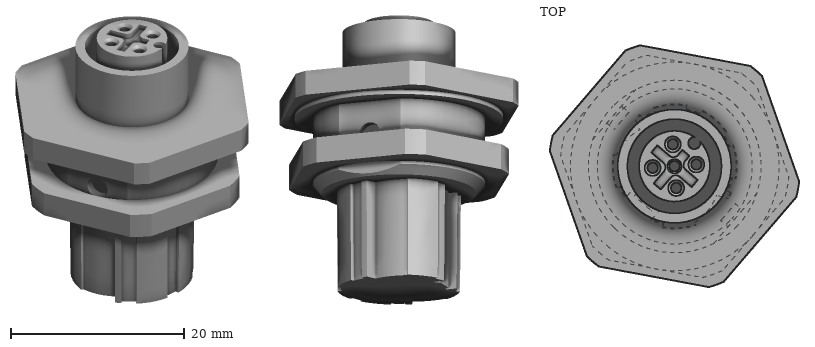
import cadquery as cq
import math

KEY_ANGLE = 49.4

BODY_BOTTOM = 11.45
NUT_BOTTOM = 12.8
NUT_TOP = 15.8
SEAL_BOTTOM = 20.22
FLANGE_BOTTOM = 20.73
FLANGE_TOP = 23.57
COLLAR_TOP = 30.53
INSERT_TOP = 31.6

FLANGE_APOTHEM = 13.0
FLANGE_CORNER_RADIUS = 14.5
NUT_APOTHEM = 12.0
NUT_CORNER_RADIUS = 13.2

SEAL_RADIUS = 12.05
BODY_RADIUS = 9.95
BODY_CHAMFER = 1.0
COLLAR_RADIUS = 6.55
SOCKET_RADIUS = 5.45
INSERT_RADIUS = 4.08

FLAT_DISTANCE = 9.2
SIDE_HOLE_RADIUS = 1.3
SIDE_HOLE_DEPTH = 1.1
SIDE_HOLE_LEVEL = 16.43

SHELL_TOP_RADIUS = 7.2
SHELL_BOTTOM_RADIUS = 7.1
GROOVE_ANGLES = (22.5, 67.5, 157.5)
GROOVE_HALF_ANGLE = 7.0
GROOVE_DEPTH = 0.45

KEYWAY_WIDTH = 3.92
KEYWAY_FLOOR = 5.12
PAD_BASE_WIDTH = 2.9
PAD_FACE_WIDTH = 2.6
PAD_FACE = 5.62

RELIEF_FLOOR_RADIUS = 6.23
RELIEF_FLOOR_OFFSET = 1.58
RELIEF_FRONT_ANGLE = 119.5
RELIEF_WALL_INNER = (0.57, 5.75)
RELIEF_WALL_OUTER = (1.17, 7.0)

PIN_CIRCLE_RADIUS = 2.53
PIN_HOLE_RADIUS = 0.6
PIN_MOUTH_RADIUS = 0.92
CENTER_MOUTH_RADIUS = 0.82
PIN_CONE_DEPTH = 0.32
PIN_HOLE_DEPTH = 6.32
CROSS_DEPTH = 0.7
CROSS_WIDTH = 1.07
CROSS_LONG_ARM = 3.05
CROSS_SHORT_ARM = 2.02
CROSS_CORNER_RADIUS = 0.7
KEY_NOTCH_RADIUS = 0.7
KEY_NOTCH_OFFSET = 3.5

CUT_REACH = 12.65


def cylinder(radius, bottom, top):
    return cq.Workplane("XY").workplane(offset=bottom).circle(radius).extrude(top - bottom)


def cone(bottom_radius, top_radius, bottom, top):
    solid = cq.Solid.makeCone(bottom_radius, top_radius, top - bottom, pnt=cq.Vector(0, 0, bottom))
    return cq.Workplane(obj=solid)


def block(x_min, x_max, width, bottom, top):
    """Box centred on the XZ plane."""
    return cq.Workplane("XY").box(
        x_max - x_min, width, top - bottom, centered=(False, True, False)
    ).translate((x_min, 0, bottom))


def hexagon(apothem, corner_radius, bottom, top):
    """Hexagonal plate, corners on the X axis, trimmed by a coaxial cylinder."""
    across_corners = 2 * apothem / math.cos(math.radians(30))
    plate = cq.Workplane("XY").workplane(offset=bottom).polygon(6, across_corners)
    return plate.extrude(top - bottom).intersect(cylinder(corner_radius, bottom, top))


def polar(radius, angle):
    return (radius * math.cos(math.radians(angle)), radius * math.sin(math.radians(angle)))


def both_sides(shape):
    """A shape together with its mirror image across the XZ plane."""
    return shape.union(shape.mirror("XZ"))


def make_body():
    body = cylinder(BODY_RADIUS, BODY_BOTTOM, SEAL_BOTTOM).faces("<Z").chamfer(BODY_CHAMFER)
    flats = cq.Workplane("XY").box(
        2 * BODY_RADIUS, 2 * FLAT_DISTANCE, SEAL_BOTTOM - BODY_BOTTOM, centered=(True, True, False)
    ).translate((0, 0, BODY_BOTTOM))
    hole = (
        cq.Workplane("XZ", origin=(0, FLAT_DISTANCE, SIDE_HOLE_LEVEL))
        .circle(SIDE_HOLE_RADIUS)
        .extrude(SIDE_HOLE_DEPTH)
    )
    return body.intersect(flats).cut(both_sides(hole))


def make_nut():
    nut = hexagon(NUT_APOTHEM, NUT_CORNER_RADIUS, NUT_BOTTOM, NUT_TOP)
    return nut.cut(cylinder(BODY_RADIUS, NUT_BOTTOM, NUT_TOP))


def shell_grooves():
    """Shallow axial grooves spread along the tapered shell."""
    sectors = cq.Workplane("XY")
    for middle in GROOVE_ANGLES:
        sector = cq.Workplane("XY").polyline([
            (0, 0),
            polar(CUT_REACH, middle - GROOVE_HALF_ANGLE),
            polar(CUT_REACH, middle + GROOVE_HALF_ANGLE),
        ]).close().extrude(BODY_BOTTOM)
        sectors = sectors.add(sector)
    core = cone(SHELL_BOTTOM_RADIUS - GROOVE_DEPTH, SHELL_TOP_RADIUS - GROOVE_DEPTH, 0, BODY_BOTTOM)
    return both_sides(sectors.combine().cut(core))


def shell_reliefs():
    """Areas beside the keyway cut down to a floor centred off the axis."""
    wall_run = RELIEF_WALL_OUTER[0] - RELIEF_WALL_INNER[0]
    wall_rise = RELIEF_WALL_OUTER[1] - RELIEF_WALL_INNER[1]
    wall_foot = RELIEF_WALL_INNER[0] - RELIEF_WALL_INNER[1] * wall_run / wall_rise
    wall_end = wall_foot + CUT_REACH * wall_run / wall_rise
    sector = cq.Workplane("XY").polyline([
        (0, 0),
        (wall_foot, 0),
        (wall_end, CUT_REACH),
        polar(2 * CUT_REACH, RELIEF_FRONT_ANGLE),
    ]).close().extrude(BODY_BOTTOM)
    floor = cylinder(RELIEF_FLOOR_RADIUS, 0, BODY_BOTTOM).translate((-RELIEF_FLOOR_OFFSET, 0, 0))
    return both_sides(sector.cut(floor))


def make_shell():
    shell = cone(SHELL_BOTTOM_RADIUS, SHELL_TOP_RADIUS, 0, BODY_BOTTOM)
    keyway = block(-CUT_REACH, -KEYWAY_FLOOR, KEYWAY_WIDTH, 0, BODY_BOTTOM)
    pad = cq.Workplane("XY").polyline([
        (-KEYWAY_FLOOR, PAD_BASE_WIDTH / 2),
        (-PAD_FACE, PAD_FACE_WIDTH / 2),
        (-PAD_FACE, -PAD_FACE_WIDTH / 2),
        (-KEYWAY_FLOOR, -PAD_BASE_WIDTH / 2),
    ]).close().extrude(BODY_BOTTOM)
    return shell.cut(shell_grooves()).cut(shell_reliefs()).cut(keyway.cut(pad))


def contact_hole(mouth_radius, top):
    hole = cylinder(PIN_HOLE_RADIUS, INSERT_TOP - PIN_HOLE_DEPTH, top)
    return hole.union(cone(PIN_HOLE_RADIUS, mouth_radius, top - PIN_CONE_DEPTH, top))


def cross_recess(floor):
    """Cross with three long arms and a short one toward the key."""
    key_arm = block(-CROSS_LONG_ARM, CROSS_SHORT_ARM, CROSS_WIDTH, floor, INSERT_TOP)
    side_arm = block(-CROSS_WIDTH / 2, CROSS_WIDTH / 2, 2 * CROSS_LONG_ARM, floor, INSERT_TOP)
    corner = CROSS_WIDTH
    inner_corners = cq.selectors.BoxSelector((-corner, -corner, floor), (corner, corner, INSERT_TOP))
    return key_arm.union(side_arm).edges("|Z").edges(inner_corners).fillet(CROSS_CORNER_RADIUS)


def make_insert():
    cross_floor = INSERT_TOP - CROSS_DEPTH
    insert = cylinder(INSERT_RADIUS, FLANGE_TOP, INSERT_TOP)
    insert = insert.cut(cross_recess(cross_floor))
    insert = insert.cut(contact_hole(CENTER_MOUTH_RADIUS, cross_floor))
    for index in range(4):
        x, y = polar(PIN_CIRCLE_RADIUS, 45 + 90 * index)
        insert = insert.cut(contact_hole(PIN_MOUTH_RADIUS, INSERT_TOP).translate((x, y, 0)))
    notch = cylinder(KEY_NOTCH_RADIUS, FLANGE_TOP, INSERT_TOP).translate((KEY_NOTCH_OFFSET, 0, 0))
    return insert.cut(notch)


flange = hexagon(FLANGE_APOTHEM, FLANGE_CORNER_RADIUS, FLANGE_BOTTOM, FLANGE_TOP)
seal = cylinder(SEAL_RADIUS, SEAL_BOTTOM, FLANGE_BOTTOM)
collar = cylinder(COLLAR_RADIUS, FLANGE_TOP, COLLAR_TOP).cut(
    cylinder(SOCKET_RADIUS, FLANGE_TOP, COLLAR_TOP)
)

connector = make_shell()
for piece in (make_body(), make_nut(), seal, flange, collar, make_insert()):
    connector = connector.union(piece)

result = connector.rotate((0, 0, 0), (0, 0, 1), KEY_ANGLE)